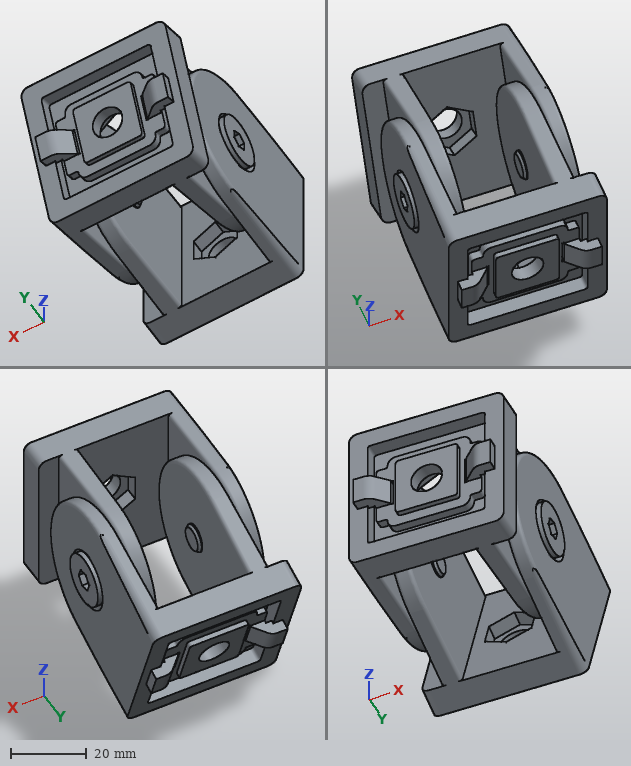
import cadquery as cq
import math

overall_length = 73.7
tilt_angle = 20.0

foot_side = 44.95
foot_shift = 0.2
foot_corner_radius = 2.5
foot_face = 32.5
floor_thickness = 4.0
recess_depth = 4.2
recess_side = 34.05
recess_corner_radius = 0.9
nut_across_flats = 13.55

contact_x = 16.6
inner_arm_x = 10.7
arm_draft = 1.5
arm_end_offset = 0.95
arm_edge_radius = 1.0

head_diameter = 15.25
head_x = 22.4
head_seat_x = 20.7
countersink_angle = 36.0
shank_diameter = 8.0
tip_diameter = 6.8
tip_x = 10.2
tip_chamfer_length = 0.8
socket_across_flats = 5.0
socket_depth = 3.25
socket_tip_depth = 1.7

boss_side = 18.0
boss_height = 1.55
boss_corner_radius = 0.9
insert_hole_diameter = 9.0
plate_thickness = 2.5
plate_long_side = 30.6
plate_ear_height = 18.0
plate_short_side = 24.2
plate_middle_width = 24.0
plate_middle_radius = 2.4
plate_ear_radius = 0.9
plate_step_radius = 0.6
lug_outer_x = 19.9
lug_round_x = 16.9
lug_ramp_x = 14.2
lug_height = 7.95
lug_overhang_depth = 0.9
slot_inner_x = 10.4
slot_outer_x = 10.9

half_foot = foot_side / 2
foot_thickness = floor_thickness + recess_depth
foot_back = -foot_face + foot_thickness
recess_floor = -foot_face + recess_depth
plate_face = recess_floor - plate_thickness
tilt = math.radians(tilt_angle)
tilted_reach = foot_face * math.cos(tilt) + half_foot * math.sin(tilt)
lug_tip = -(overall_length - tilted_reach)
draft_slope = math.tan(math.radians(arm_draft))
arm_tip = half_foot - arm_end_offset
outer_arm_x = half_foot - foot_shift


def block_along_y(width, height, y_from, y_to):
    """Box centred on the Y axis between two Y positions."""
    length = y_to - y_from
    return cq.Workplane("XY").box(width, length, height).translate((0, (y_from + y_to) / 2, 0))


def cylinder_along_x(diameter, x_from, x_to):
    """Cylinder on the pivot axis between two X positions."""
    return cq.Workplane("YZ").workplane(offset=x_from).circle(diameter / 2).extrude(x_to - x_from)


def hexagon_corner_diameter(across_flats):
    return across_flats / math.cos(math.pi / 6)


def arm(contact, free_side, free_side_start):
    """Round-ended arm with one flat contact side and one free side tapering toward the tip."""
    toward_contact = math.copysign(draft_slope, contact - free_side)
    free_tip = free_side + toward_contact * (arm_tip - free_side_start)
    free_root = free_side - toward_contact * (free_side_start + foot_face)
    taper = (
        cq.Workplane("XY")
        .polyline([(contact, -foot_face), (contact, arm_tip), (free_tip, arm_tip), (free_root, -foot_face)])
        .close()
        .extrude(half_foot, both=True)
    )
    outline = (
        cq.Workplane("YZ")
        .moveTo(-foot_face, -half_foot)
        .lineTo(-arm_end_offset, -half_foot)
        .threePointArc((arm_tip, 0), (-arm_end_offset, half_foot))
        .lineTo(-foot_face, half_foot)
        .close()
        .extrude(foot_side, both=True)
    )
    rim_edges = "(not #X) and (not |X) and (not <Y)"
    return taper.intersect(outline).edges(rim_edges).fillet(arm_edge_radius)


def bracket_envelope():
    """Round-cornered prism around foot and arms, tapered on the outer arm's side."""
    prism = block_along_y(foot_side, foot_side, -foot_face, arm_tip)
    prism = prism.edges("|Y").fillet(foot_corner_radius).translate((foot_shift, 0, 0))
    taper_depth = draft_slope * (arm_tip + foot_face)
    taper = (
        cq.Workplane("XY")
        .polyline([
            (-outer_arm_x, -foot_face),
            (-outer_arm_x + taper_depth, arm_tip),
            (-outer_arm_x, arm_tip),
        ])
        .close()
        .extrude(foot_side, both=True)
    )
    return prism.cut(taper)


def bracket():
    envelope = bracket_envelope()
    foot = envelope.intersect(block_along_y(2 * foot_side, foot_side, -foot_face, foot_back))
    outer_arm = arm(-contact_x, -outer_arm_x, -foot_face).intersect(envelope)
    inner_arm = arm(contact_x, inner_arm_x, foot_back)
    body = foot.union(outer_arm).union(inner_arm)

    recess = block_along_y(recess_side, recess_side, -foot_face, recess_floor)
    recess = recess.edges("|Y").fillet(recess_corner_radius).translate((foot_shift, 0, 0))
    nut_pocket = (
        cq.Workplane("XZ", origin=(foot_shift, foot_back, 0))
        .polygon(6, hexagon_corner_diameter(nut_across_flats))
        .extrude(floor_thickness)
        .rotate((foot_shift, 0, 0), (foot_shift, 1, 0), 30)
    )
    shank_hole = cylinder_along_x(shank_diameter, -half_foot, half_foot)
    return body.cut(recess).cut(nut_pocket).cut(shank_hole).cut(head_recess())


def head_recess():
    """Countersink that opens outward from the head's seat."""
    head_radius = head_diameter / 2
    flare = (half_foot - head_seat_x) / math.tan(math.radians(countersink_angle))
    return (
        cq.Workplane("XY")
        .polyline([
            (-head_seat_x, 0),
            (-head_seat_x, head_radius),
            (-half_foot, head_radius + flare),
            (-half_foot, 0),
        ])
        .close()
        .revolve(360, (0, 0, 0), (1, 0, 0))
    )


def bolt():
    head = cylinder_along_x(head_diameter, -head_x, -head_seat_x)
    shank = cylinder_along_x(shank_diameter, -head_seat_x, -tip_x)
    chamfer_radial = (shank_diameter - tip_diameter) / 2
    shank = shank.faces(">X").edges().chamfer(tip_chamfer_length, chamfer_radial)
    corner_diameter = hexagon_corner_diameter(socket_across_flats)
    socket = (
        cq.Workplane("YZ", origin=(-head_x, 0, 0))
        .polygon(6, corner_diameter)
        .extrude(socket_depth)
        .rotate((0, 0, 0), (1, 0, 0), 30)
    )
    socket_tip = cq.Workplane(
        cq.Solid.makeCone(
            corner_diameter / 2, 0, socket_tip_depth,
            pnt=cq.Vector(socket_depth - head_x, 0, 0), dir=cq.Vector(1, 0, 0),
        )
    )
    return head.union(shank).cut(socket).cut(socket_tip)


def lug():
    """Hooked lug on the +X side, with a rounded, 45 degree inner ramp."""
    ramp_rise = slot_outer_x - lug_ramp_x
    round_drop = (lug_round_x - lug_ramp_x) * math.tan(math.pi / 8)
    ramp_start = lug_tip + round_drop
    overhang_back = -foot_face + lug_overhang_depth
    return (
        cq.Workplane("XY")
        .moveTo(lug_outer_x, -foot_face)
        .lineTo(lug_outer_x, lug_tip)
        .lineTo(lug_round_x, lug_tip)
        .threePointArc(round_middle(), (lug_ramp_x, ramp_start))
        .lineTo(slot_outer_x, ramp_start - ramp_rise)
        .lineTo(slot_outer_x, recess_floor)
        .lineTo(plate_long_side / 2, recess_floor)
        .lineTo(plate_long_side / 2, overhang_back)
        .lineTo(recess_side / 2, overhang_back)
        .lineTo(recess_side / 2, -foot_face)
        .close()
        .extrude(lug_height / 2, both=True)
    )


def round_middle():
    """Middle of the lug's 45 degree round."""
    radius = (lug_round_x - lug_ramp_x) / math.sin(math.pi / 4)
    return (
        lug_round_x - radius * math.sin(math.pi / 8),
        lug_tip + radius * (1 - math.cos(math.pi / 8)),
    )


def insert():
    ears = block_along_y(plate_long_side, plate_ear_height, plate_face, recess_floor)
    ears = ears.edges("|Y").fillet(plate_ear_radius)
    middle = block_along_y(plate_middle_width, plate_short_side, plate_face, recess_floor)
    middle = middle.edges("|Y").fillet(plate_middle_radius)
    boss = block_along_y(boss_side, boss_side, plate_face - boss_height, plate_face)
    boss = boss.edges("|Y").fillet(boss_corner_radius)
    plate = ears.union(middle)
    for side_x in (-plate_middle_width / 2, plate_middle_width / 2):
        for side_z in (-plate_ear_height / 2, plate_ear_height / 2):
            corner = (side_x, (plate_face + recess_floor) / 2, side_z)
            plate = plate.edges(cq.selectors.NearestToPointSelector(corner)).fillet(plate_step_radius)
    body = plate.union(boss)
    slot = (
        block_along_y(slot_outer_x - slot_inner_x, lug_height, plate_face, recess_floor)
        .translate(((slot_inner_x + slot_outer_x) / 2, 0, 0))
    )
    for side_angle in (0, 180):
        turn = ((0, 0, 0), (0, 1, 0), side_angle)
        body = body.union(lug().rotate(*turn)).cut(slot.rotate(*turn))
    hole = cq.Workplane("XZ").circle(insert_hole_diameter / 2).extrude(overall_length)
    return body.cut(hole).translate((foot_shift, 0, 0))


def turned_back(part):
    """The same part in the second half: half a turn about Z, then tilted about the pivot."""
    return part.rotate((0, 0, 0), (0, 0, 1), 180).rotate((0, 0, 0), (1, 0, 0), -tilt_angle)


bodies = []
for part in (bracket(), insert(), bolt()):
    bodies.append(part.val())
    bodies.append(turned_back(part).val())

result = cq.Compound.makeCompound(bodies)